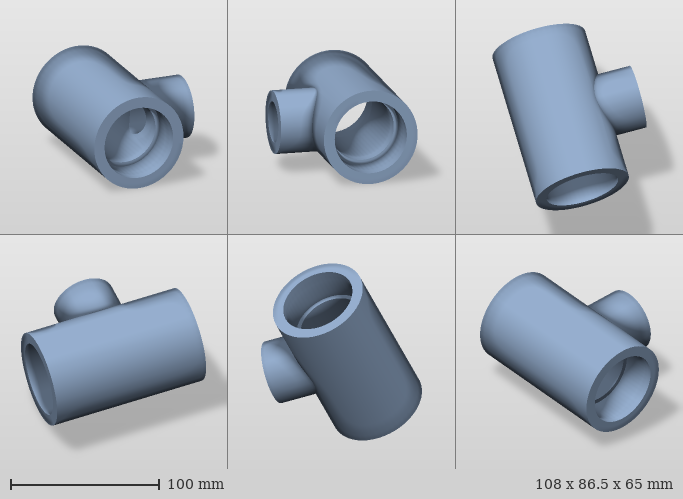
import cadquery as cq

run_length = 108.0
run_diameter = 65.0
socket_diameter = 50.0
socket_depth = 24.0
bore_diameter = 44.0

branch_diameter = 43.0
branch_reach = 54.0
branch_bore_diameter = 28.0


def cylinder_x(diameter, start, length):
    """Cylinder on the X axis, growing toward +X from start."""
    return cq.Workplane("YZ").workplane(offset=start).circle(diameter / 2).extrude(length)


def cylinder_y(diameter, start, length):
    """Cylinder on the Y axis, growing toward +Y from start."""
    return cq.Workplane("XZ").workplane(offset=-start).circle(diameter / 2).extrude(-length)


run_end = run_length / 2
run = cylinder_x(run_diameter, -run_end, run_length)
branch = cylinder_y(branch_diameter, 0, branch_reach)
body = run.union(branch)

body = body.cut(cylinder_x(bore_diameter, -run_end, run_length))
for socket_start in (-run_end, run_end - socket_depth):
    body = body.cut(cylinder_x(socket_diameter, socket_start, socket_depth))

body = body.cut(cylinder_y(branch_bore_diameter, 0, branch_reach))

result = body